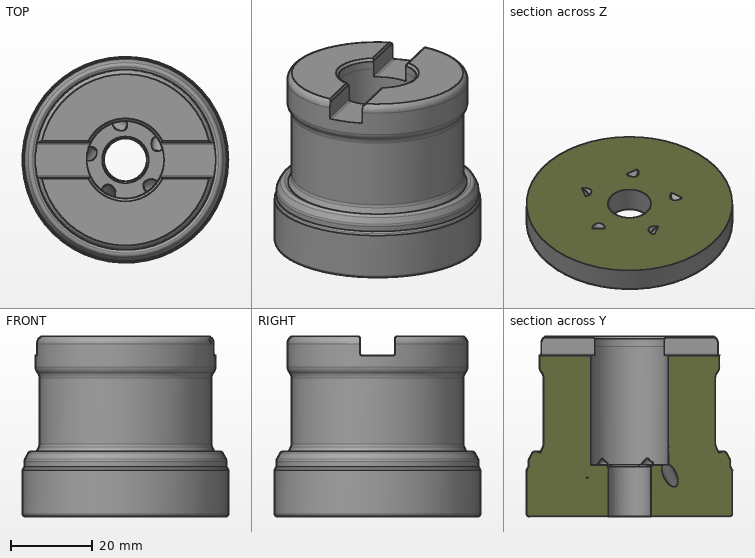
import cadquery as cq
import math

height = 44.45
flange_radius = 50.8 / 2
neck_radius = 42.45 / 2
head_radius = 44.45 / 2

base_edge_round = 0.7
base_top_z = 11.35
base_shoulder_z = 11.85
base_shoulder_radius = 25.2
band_radius = 24.95
band_bottom_z = 12.25
band_top_z = 13.6
shoulder_angle = math.radians(30)
shoulder_blend_radius = 1.2
rim_round = 0.9
rim_top_z = 16.1
rim_outer_radius = 24.0
rim_inner_angle = math.radians(70)

flare_top_z = 17.95
flare_blend_radius = 1.8
flare_angle = math.radians(25)
groove_radius = 22.05

underside_start_z = 34.2
underside_blend_radius = 2.0
head_top_face_radius = 21.1
head_edge_start_z = 42.55

slot_width = 8.5
slot_floor_z = 39.7
slot_edge_chamfer = 0.45
slot_floor_fillet = 0.4

bore_radius = 19.05 / 2
bore_floor_z = 12.7
bore_lead_in_radius = 9.57
bore_lead_in_depth = 2.5
bore_chamfer = 0.65
through_hole_radius = 10.5 / 2
through_hole_chamfer = 0.5

slant_hole_count = 5
slant_hole_diameter = 3.0
slant_hole_circle_radius = 8.82
slant_hole_first_angle = 26.4
slant_hole_heading = 60.0
slant_hole_tilt = 38.0
slant_hole_depth = 8.0
slant_hole_overlap = 1.0


def on_arc(center_r, center_z, radius, angle):
    """Point at an angle above the outward radial direction of a circle in the (r, z) half plane."""
    return (center_r + radius * math.cos(angle), center_z + radius * math.sin(angle))


def turned_body():
    shoulder_blend = (band_radius - shoulder_blend_radius, band_top_z, shoulder_blend_radius)
    shoulder_start = on_arc(*shoulder_blend, shoulder_angle)
    shoulder_blend_mid = on_arc(*shoulder_blend, shoulder_angle / 2)

    rim_center_r = rim_outer_radius - rim_round * math.cos(shoulder_angle)
    rim = (rim_center_r, rim_top_z - rim_round, rim_round)
    rim_outer = on_arc(*rim, shoulder_angle)
    rim_top = on_arc(*rim, math.pi / 2)
    rim_inner = on_arc(*rim, math.pi - rim_inner_angle)

    flare = (neck_radius + flare_blend_radius, flare_top_z, flare_blend_radius)
    flare_cone_top = on_arc(*flare, math.pi + flare_angle)
    flare_blend_mid = on_arc(*flare, math.pi + flare_angle / 2)

    groove_drop = (rim_inner[0] - groove_radius) / math.tan(rim_inner_angle)
    groove = (groove_radius, rim_inner[1] - groove_drop)

    blend = underside_blend_radius
    blend_angle = math.acos(1 - (head_radius - neck_radius) / (2 * blend))
    lower = (neck_radius + blend, underside_start_z, blend)
    underside_end_z = underside_start_z + 2 * blend * math.sin(blend_angle)
    upper = (head_radius - blend, underside_end_z, blend)

    edge_run = head_radius - head_top_face_radius
    edge_rise = height - head_edge_start_z
    edge_angle = 2 * math.atan(edge_run / edge_rise)
    edge_radius = edge_rise / math.sin(edge_angle)
    edge = (head_radius - edge_radius, head_edge_start_z, edge_radius)

    base_round = (flange_radius - base_edge_round, base_edge_round, base_edge_round)
    profile = (
        cq.Workplane("XZ")
        .moveTo(0, 0)
        .lineTo(flange_radius - base_edge_round, 0)
        .threePointArc(on_arc(*base_round, -math.pi / 4), (flange_radius, base_edge_round))
        .lineTo(flange_radius, base_top_z)
        .lineTo(base_shoulder_radius, base_shoulder_z)
        .lineTo(band_radius, band_bottom_z)
        .lineTo(band_radius, band_top_z)
        .threePointArc(shoulder_blend_mid, shoulder_start)
        .lineTo(*rim_outer)
        .threePointArc(rim_top, rim_inner)
        .lineTo(*groove)
        .lineTo(*flare_cone_top)
        .threePointArc(flare_blend_mid, (neck_radius, flare_top_z))
        .lineTo(neck_radius, underside_start_z)
        .threePointArc(on_arc(*lower, math.pi - blend_angle / 2), on_arc(*lower, math.pi - blend_angle))
        .threePointArc(on_arc(*upper, -blend_angle / 2), (head_radius, underside_end_z))
        .lineTo(head_radius, head_edge_start_z)
        .threePointArc(on_arc(*edge, edge_angle / 2), (head_top_face_radius, height))
        .lineTo(0, height)
        .close()
    )
    return profile.revolve(360, (0, 0, 0), (0, 1, 0))


def bore():
    lead_in_top_z = height - bore_chamfer
    profile = (
        cq.Workplane("XZ")
        .moveTo(0, 0)
        .lineTo(through_hole_radius, 0)
        .lineTo(through_hole_radius, bore_floor_z - through_hole_chamfer)
        .lineTo(through_hole_radius + through_hole_chamfer, bore_floor_z)
        .lineTo(bore_radius, bore_floor_z)
        .lineTo(bore_radius, height - bore_lead_in_depth)
        .lineTo(bore_lead_in_radius, lead_in_top_z)
        .lineTo(bore_lead_in_radius + bore_chamfer, height)
        .lineTo(0, height)
        .close()
    )
    return profile.revolve(360, (0, 0, 0), (0, 1, 0))


def cross_slot():
    length = 2 * flange_radius
    depth = height - slot_floor_z
    half_width = slot_width / 2
    channel = (
        cq.Workplane("XY")
        .box(length, slot_width, depth, centered=(True, True, False))
        .edges("|X and <Z")
        .fillet(slot_floor_fillet)
        .translate((0, 0, slot_floor_z))
    )
    edge_break = (
        cq.Workplane("YZ", origin=(-flange_radius, 0, 0))
        .moveTo(-half_width, height - slot_edge_chamfer)
        .lineTo(half_width, height - slot_edge_chamfer)
        .lineTo(half_width + slot_edge_chamfer, height)
        .lineTo(-half_width - slot_edge_chamfer, height)
        .close()
        .extrude(length)
    )
    return channel.union(edge_break)


def slant_hole(angle):
    """Hole in the bore floor, heading off at a fixed angle from the outward radius and going down."""
    position = math.radians(angle)
    heading = math.radians(angle + slant_hole_heading)
    tilt = math.radians(slant_hole_tilt)
    mouth = cq.Vector(
        slant_hole_circle_radius * math.cos(position),
        slant_hole_circle_radius * math.sin(position),
        bore_floor_z,
    )
    direction = cq.Vector(
        math.sin(tilt) * math.cos(heading),
        math.sin(tilt) * math.sin(heading),
        -math.cos(tilt),
    )
    start = mouth - direction * slant_hole_overlap
    length = slant_hole_depth + slant_hole_overlap
    return cq.Workplane(cq.Solid.makeCylinder(slant_hole_diameter / 2, length, start, direction))


result = turned_body().cut(bore()).cut(cross_slot())
for index in range(slant_hole_count):
    result = result.cut(slant_hole(slant_hole_first_angle + index * 360 / slant_hole_count))